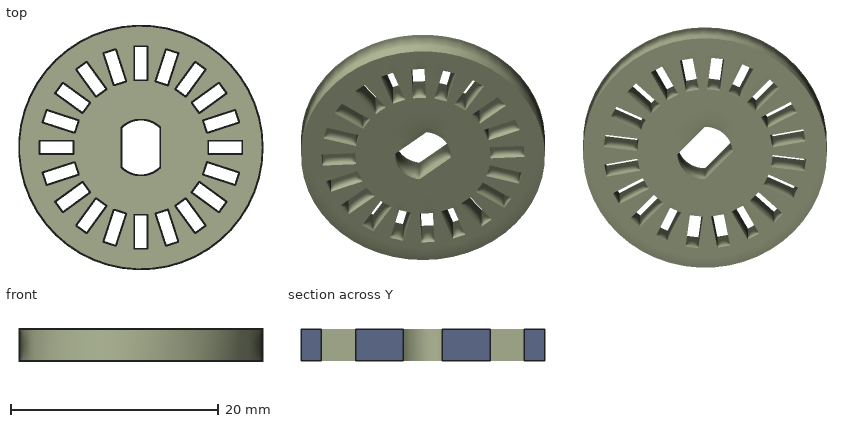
import cadquery as cq

disc_diameter = 23.5
disc_thickness = 3.1

slot_count = 20
slot_width = 1.25
slot_inner_radius = 6.5
slot_outer_radius = 9.75

bore_diameter = 5.35
bore_across_flats = 3.7


def make_disc():
    """Plain round disc standing on the XY plane."""
    return cq.Workplane("XY").circle(disc_diameter / 2).extrude(disc_thickness)


def make_slots():
    """Evenly spaced rectangular through slots, each with its long side radial."""
    slot_length = slot_outer_radius - slot_inner_radius
    slot_center_radius = (slot_outer_radius + slot_inner_radius) / 2
    return (
        cq.Workplane("XY")
        .polarArray(slot_center_radius, 0, 360, slot_count)
        .rect(slot_length, slot_width)
        .extrude(disc_thickness)
    )


def make_bore():
    """Double-D shaft hole with its flats facing +X and -X."""
    round_bore = cq.Workplane("XY").circle(bore_diameter / 2).extrude(disc_thickness)
    flats = cq.Workplane("XY").rect(bore_across_flats, bore_diameter).extrude(disc_thickness)
    return round_bore.intersect(flats)


result = make_disc().cut(make_slots()).cut(make_bore())